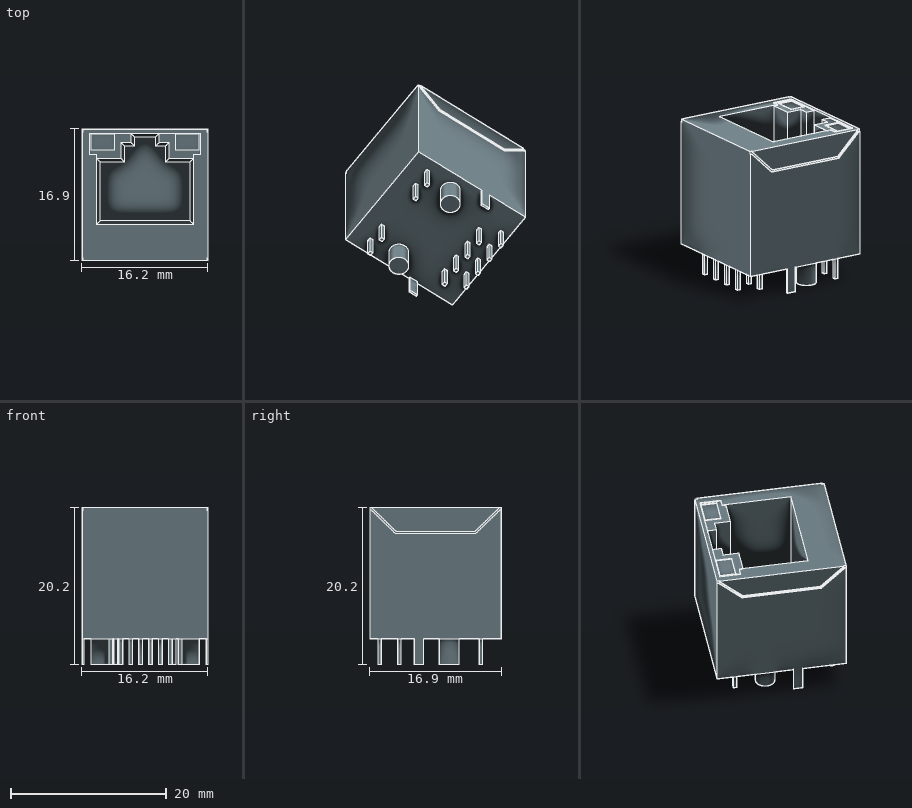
import cadquery as cq

BODY_X = 16.2
BODY_Y = 16.9
BODY_Z = 16.9
TAIL_LENGTH = 3.3

CAVITY_HALF_X = 6.23
CAVITY_FRONT_Y = -3.77
SHOULDER_Y = 4.7
LATCH_HALF_X = 3.09
LATCH_Y = 6.74
KEY_HALF_X = 1.82
KEY_Y = 7.92
CAVITY_DEPTH = 13.0
FLOOR_BORDER = 0.46

INSERT_HALF_X = 7.16
INSERT_FRONT_Y = 5.21
INSERT_DROP = 0.12
LENS_X = 3.0
LENS_Y = 2.05
LENS_CENTRE_X = 5.42
LENS_CENTRE_Y = 6.82
LENS_DROP = 0.12

GROOVE_WIDTH = 0.25
GROOVE_CORNER_SHIFT = GROOVE_WIDTH * (2**0.5 - 1)
GROOVE_DEPTH = 0.12
PANEL_DROP = 3.1
PANEL_BOTTOM_HALF_Y = 5.06
PANEL_TOP_HALF_Y = 8.15
PANEL_END_HEIGHT = 0.1

PIN_X = 0.5
PIN_Y = 0.45
PIN_PITCH = 1.27
PIN_COUNT = 8
PIN_ROWS_CENTRE_X = 0.06
PIN_ROW_FRONT_Y = -7.2
PIN_ROW_BACK_Y = -4.66
LED_PIN_Y = 5.82
LED_PIN_XS = (-6.3, -3.76, 3.76, 6.3)

TAB_THICKNESS = 0.25
TAB_WIDTH = 1.2
TAB_Y = -2.15
PEG_DIAMETER = 2.55
PEG_X = 5.7
PEG_Y = 1.74


def block(size_x, size_y, z_bottom, z_top, x=0.0, y=0.0):
    """Upright box centred at (x, y)."""
    return (
        cq.Workplane("XY", origin=(x, y, z_bottom))
        .rect(size_x, size_y)
        .extrude(z_top - z_bottom)
    )


def tail(size_x, size_y, x, y):
    """Rectangular lead hanging below the housing."""
    return block(size_x, size_y, -TAIL_LENGTH, 0.0, x, y)


def cavity_outline(inset=0.0):
    """Corners of the cavity with its stepped latch slot, moved inwards by inset."""
    right_side = [
        (CAVITY_HALF_X - inset, CAVITY_FRONT_Y + inset),
        (CAVITY_HALF_X - inset, SHOULDER_Y - inset),
        (LATCH_HALF_X - inset, SHOULDER_Y - inset),
        (LATCH_HALF_X - inset, LATCH_Y - inset),
        (KEY_HALF_X - inset, LATCH_Y - inset),
        (KEY_HALF_X - inset, KEY_Y - inset),
    ]
    left_side = [(-x, y) for x, y in reversed(right_side)]
    return right_side + left_side


def plug_cavity():
    """Straight pocket that narrows at 45 degrees just above its floor."""
    straight_depth = CAVITY_DEPTH - FLOOR_BORDER
    straight = (
        cq.Workplane("XY", origin=(0, 0, BODY_Z))
        .polyline(cavity_outline())
        .close()
        .extrude(-straight_depth)
    )
    sloped = (
        cq.Workplane("XY", origin=(0, 0, BODY_Z - straight_depth))
        .polyline(cavity_outline())
        .close()
        .workplane(offset=-FLOOR_BORDER)
        .polyline(cavity_outline(FLOOR_BORDER))
        .close()
        .loft(ruled=True)
    )
    return straight.union(sloped)


def insert_recess():
    """Step from the rim to the insert, open towards the cavity."""
    z_bottom = BODY_Z - INSERT_DROP

    def step(half_x, front_y):
        return block(2 * half_x, KEY_Y - front_y, z_bottom, BODY_Z, y=(KEY_Y + front_y) / 2)

    return step(INSERT_HALF_X, INSERT_FRONT_Y).union(step(CAVITY_HALF_X, SHOULDER_Y))


def lens_pocket(side):
    """Shallow rectangular pocket over one indicator lens."""
    z_bottom = BODY_Z - INSERT_DROP - LENS_DROP
    return block(LENS_X, LENS_Y, z_bottom, BODY_Z, side * LENS_CENTRE_X, LENS_CENTRE_Y)


def side_plate(side, right_half):
    """Plate inside one X face, from the (y, z) corners of its +Y half."""
    left_half = [(-y, z) for y, z in reversed(right_half)]
    return (
        cq.Workplane("YZ", origin=(side * BODY_X / 2, 0, 0))
        .polyline(right_half + left_half)
        .close()
        .extrude(-side * GROOVE_DEPTH)
    )


def panel_groove(side):
    """Groove around the panel, running out through the top corners of the housing."""
    panel = [
        (PANEL_BOTTOM_HALF_Y, BODY_Z - PANEL_DROP),
        (PANEL_TOP_HALF_Y, BODY_Z - PANEL_END_HEIGHT),
        (PANEL_TOP_HALF_Y, BODY_Z),
    ]
    groove_end_z = BODY_Z - PANEL_END_HEIGHT - GROOVE_WIDTH
    groove_edge = [
        (PANEL_BOTTOM_HALF_Y + GROOVE_CORNER_SHIFT, BODY_Z - PANEL_DROP - GROOVE_WIDTH),
        (PANEL_TOP_HALF_Y + GROOVE_CORNER_SHIFT, groove_end_z),
        (BODY_Y / 2, groove_end_z),
        (BODY_Y / 2, BODY_Z),
    ]
    return side_plate(side, groove_edge).cut(side_plate(side, panel))


def signal_pins():
    pins = cq.Workplane("XY")
    for index in range(PIN_COUNT):
        x = PIN_ROWS_CENTRE_X + (index - (PIN_COUNT - 1) / 2) * PIN_PITCH
        y = PIN_ROW_FRONT_Y if index % 2 == 0 else PIN_ROW_BACK_Y
        pins = pins.union(tail(PIN_X, PIN_Y, x, y))
    return pins


def indicator_pins():
    pins = cq.Workplane("XY")
    for x in LED_PIN_XS:
        pins = pins.union(tail(PIN_X, PIN_Y, x, LED_PIN_Y))
    return pins


def shield_tab(side):
    return tail(TAB_THICKNESS, TAB_WIDTH, side * (BODY_X - TAB_THICKNESS) / 2, TAB_Y)


def locating_peg(side):
    return cq.Workplane("XY").center(side * PEG_X, PEG_Y).circle(PEG_DIAMETER / 2).extrude(-TAIL_LENGTH)


body = block(BODY_X, BODY_Y, 0.0, BODY_Z)
body = body.cut(plug_cavity()).cut(insert_recess())
body = body.union(signal_pins()).union(indicator_pins())

for side in (-1, 1):
    body = body.cut(lens_pocket(side)).cut(panel_groove(side))
    body = body.union(shield_tab(side)).union(locating_peg(side))

result = body